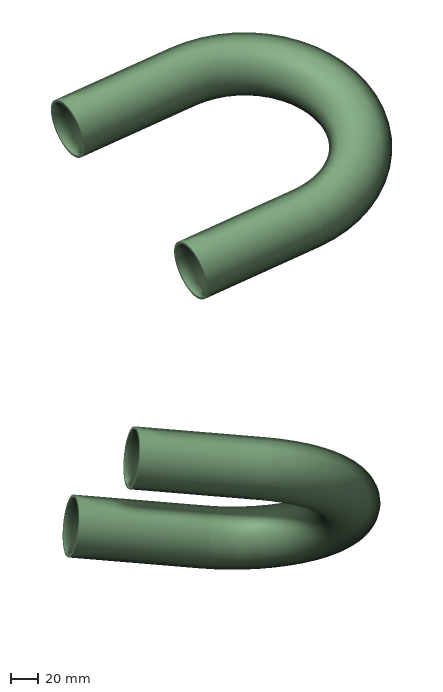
import cadquery as cq

overall_width = 216.5
tube_diameter = 46.3
wall_thickness = 2.0
leg_length = 100.0

bend_radius = (overall_width - tube_diameter) / 2
bore_diameter = tube_diameter - 2 * wall_thickness


def tube_section():
    """Ring-shaped tube cross-section, centred on the left leg."""
    return (
        cq.Workplane("XZ")
        .center(-bend_radius, 0)
        .circle(tube_diameter / 2)
        .circle(bore_diameter / 2)
    )


left_leg = tube_section().extrude(leg_length)
right_leg = left_leg.mirror("YZ")

bend = tube_section().revolve(180, (bend_radius, 0, 0), (bend_radius, -1, 0))

result = bend.union(left_leg).union(right_leg)